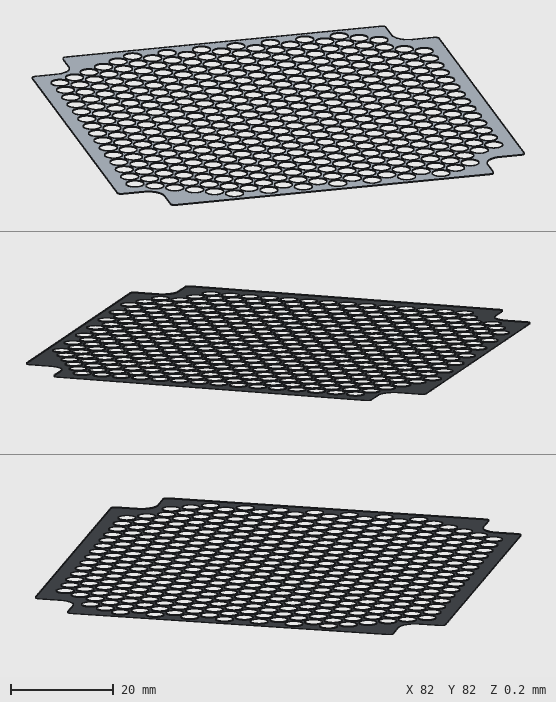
import cadquery as cq
import math

side = 82.0
thickness = 0.2
notch = 8.45
notch_radius = 3.3
corner_radius = 0.8

hole_diameter = 3.5
widest_row_span = 76.1
widest_row_count = 20
pitch = widest_row_span / (widest_row_count - 1)
row_pitch = pitch * math.sqrt(3) / 2

upper_rows = [14, 15, 18, 19]
middle_rows = [widest_row_count, widest_row_count - 1] * 7
lower_rows = [18, 17, 16, 15]
row_counts = upper_rows + middle_rows + lower_rows


def make_sheet():
    """Square sheet with a round-rooted notch at each corner and rounded outer corners."""
    sheet = cq.Workplane("XY").box(side, side, thickness)
    notch_blocks = (
        cq.Workplane("XY")
        .rect(side, side, forConstruction=True)
        .vertices()
        .rect(2 * notch, 2 * notch)
        .extrude(thickness, both=True)
        .edges("|Z")
        .fillet(notch_radius)
    )
    sheet = sheet.cut(notch_blocks)
    return sheet.faces("<X or >X or <Y or >Y").edges("|Z").fillet(corner_radius)


def hole_centres():
    """Centres of all holes, row by row from the +Y edge."""
    first_row_y = row_pitch * (len(row_counts) - 1) / 2
    centres = []
    for row, count in enumerate(row_counts):
        y = first_row_y - row * row_pitch
        first_x = -pitch * (count - 1) / 2
        centres += [(first_x + column * pitch, y) for column in range(count)]
    return centres


holes = (
    cq.Workplane("XY")
    .pushPoints(hole_centres())
    .circle(hole_diameter / 2)
    .extrude(thickness, both=True)
)
result = make_sheet().cut(holes)